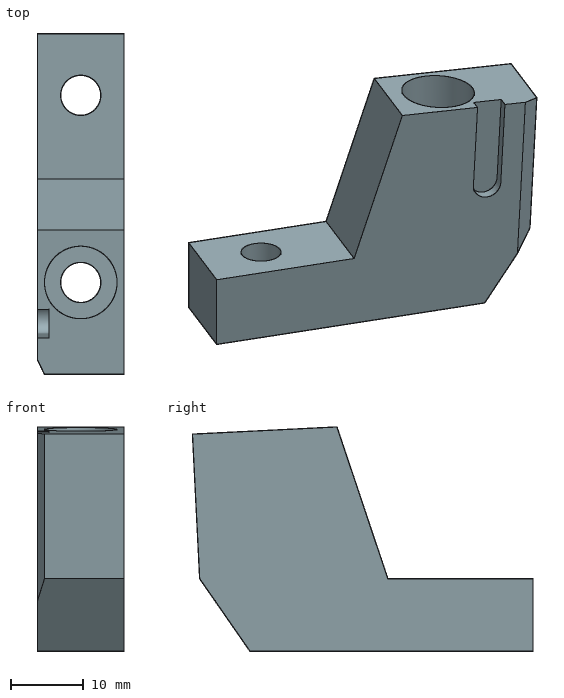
import cadquery as cq
import math

length = 47.0
width = 12.0
base_height = 10.0
tail_length = 20.0
foot_length = 39.05
head_size = 19.98
lean = math.atan(1 / 20)

bolt_diameter = 5.5
bolt_from_tail = 8.5
bolt_spacing = 25.8
counterbore_diameter = 10.0

slot_width = 4.0
slot_depth = 1.6
slot_from_front = 7.0
slot_reach = 12.0

bevel_across = 1.0
bevel_back = 2.0

overshoot = 2.35

rise = head_size * math.cos(lean)
shift = head_size * math.sin(lean)
head_front_bottom = (shift, base_height)
head_front_top = (0, base_height + rise)
head_back_top = (rise, base_height + rise + shift)
foot_front = (length - foot_length, 0)
tail_bottom = (length, 0)
tail_top = (length, base_height)
step_corner = (length - tail_length, base_height)

head_back = (0, math.cos(lean), math.sin(lean))
head_up = (0, -math.sin(lean), math.cos(lean))


def head_plane(normal, x_dir):
    """Plane at the top front corner of the -X side, aligned with the leaning head."""
    return cq.Plane(origin=(-width / 2, *head_front_top), xDir=x_dir, normal=normal)


def make_body():
    outline = [
        foot_front,
        tail_bottom,
        tail_top,
        step_corner,
        head_back_top,
        head_front_top,
        head_front_bottom,
    ]
    return cq.Workplane("YZ").polyline(outline).close().extrude(width / 2, both=True)


def make_bolt_holes():
    """Two vertical through holes; the one in the head is counterbored down to step level."""
    tail_bolt_y = length - bolt_from_tail
    head_bolt_y = tail_bolt_y - bolt_spacing
    hole_centres = [(0, tail_bolt_y), (0, head_bolt_y)]
    holes = cq.Workplane("XY").pushPoints(hole_centres).circle(bolt_diameter / 2).extrude(length)
    counterbore = (
        cq.Workplane("XY", origin=(0, head_bolt_y, base_height))
        .circle(counterbore_diameter / 2)
        .extrude(length)
    )
    return holes.union(counterbore)


def make_side_slot():
    """Round-ended slot in the -X side, open through the top of the head."""
    half_width = slot_width / 2
    near_edge = slot_from_front - half_width
    far_edge = slot_from_front + half_width
    return (
        cq.Workplane(head_plane(normal=(1, 0, 0), x_dir=head_back))
        .moveTo(near_edge, overshoot)
        .lineTo(near_edge, -slot_reach)
        .threePointArc((slot_from_front, -slot_reach - half_width), (far_edge, -slot_reach))
        .lineTo(far_edge, overshoot)
        .close()
        .extrude(slot_depth)
    )


def make_corner_bevel():
    """Triangular prism that bevels the front -X edge along the lean of the head."""
    return (
        cq.Workplane(head_plane(normal=head_up, x_dir=(1, 0, 0)))
        .polyline([(0, 0), (bevel_across, 0), (0, bevel_back)])
        .close()
        .extrude(length, both=True)
    )


result = make_body().cut(make_bolt_holes()).cut(make_side_slot()).cut(make_corner_bevel())